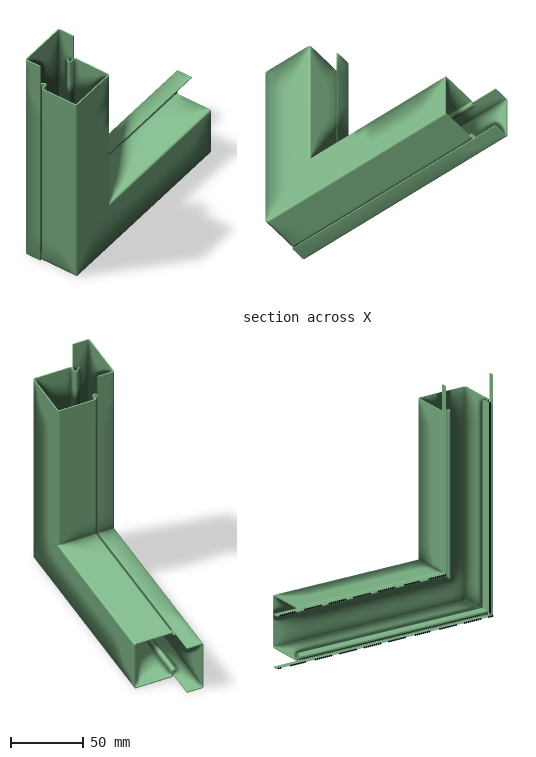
import cadquery as cq
import math

TOTAL_DEPTH = 43.8
LEG_WIDTH = 40.0
COVER_LENGTH = 180.0
BASE_SHORTFALL = 20.0
BASE_LENGTH = COVER_LENGTH - BASE_SHORTFALL

SHEET = 0.81
EDGE_RADIUS = 1.53
INNER_RADIUS = EDGE_RADIUS - SHEET
CORNER_RADIUS = 3.0

COVER_DEPTH = 13.0
BASE_FRONT = 13.7

HOOK_RADIUS = 1.3
FULL_REACH = 4.7
SMALL_REACH = 1.6
LONG_TAIL_X = 9.2
SHORT_TAIL_X = 10.3
SMALL_TAIL_X = 11.2

LONG_HOOK = (FULL_REACH, LONG_TAIL_X)
SHORT_HOOK = (FULL_REACH, SHORT_TAIL_X)
SMALL_HOOK = (SMALL_REACH, SMALL_TAIL_X)


def upright_bar(x_start, x_end, inset, length, radius, edges):
    """Rectangular bar along Z, set in from the leg sides, with rounded lengthwise edges."""
    bar = cq.Workplane("XY").box(
        x_end - x_start, LEG_WIDTH - 2 * inset, length - inset, centered=False
    )
    return bar.edges(edges).fillet(radius).translate((x_start, inset, inset))


def round_outer_corner(bar, inset):
    """Round the bottom of the bar where its outer wall turns into the other leg."""
    return bar.intersect(
        cq.Workplane("XY")
        .box(TOTAL_DEPTH, COVER_LENGTH, COVER_LENGTH, centered=False)
        .translate((0, inset, inset))
        .edges("<Y and <Z")
        .fillet(CORNER_RADIUS - inset)
    )


def mitre(leg):
    """Keep the part of an upright leg above the 45 degree plane Z = Y."""
    keep = (
        cq.Workplane("YZ")
        .polyline([(0, 0), (COVER_LENGTH, COVER_LENGTH), (0, COVER_LENGTH)])
        .close()
        .extrude(TOTAL_DEPTH)
    )
    return leg.intersect(keep)


def lay_down(leg):
    """Swap Y and Z, turning an upright leg into the matching horizontal one."""
    return leg.mirror("XY").rotate((0, 0, 0), (1, 0, 0), 90)


def cover_leg():
    """U-shaped cover, open towards the base."""
    outside = upright_bar(0, COVER_DEPTH, 0, COVER_LENGTH, EDGE_RADIUS, "|Z and <X")
    inside = upright_bar(SHEET, COVER_DEPTH, SHEET, COVER_LENGTH, INNER_RADIUS, "|Z and <X")
    return mitre(outside.cut(inside))


def hook(reach, tail_x):
    """Curl that carries on from the lip on the low-Y side and ends in a 45 degree tail."""
    center_x = BASE_FRONT + SHEET / 2 - HOOK_RADIUS
    outer = HOOK_RADIUS + SHEET / 2
    inner = HOOK_RADIUS - SHEET / 2
    diagonal = math.sqrt(0.5)

    def on_curl(radius):
        return center_x - radius * diagonal, reach + radius * diagonal

    def tail_end(radius):
        x, y = on_curl(radius)
        return tail_x, y - (x - tail_x)

    return (
        cq.Workplane("XY")
        .moveTo(center_x + outer, reach)
        .threePointArc((center_x, reach + outer), on_curl(outer))
        .lineTo(*tail_end(outer))
        .lineTo(*tail_end(inner))
        .lineTo(*on_curl(inner))
        .threePointArc((center_x, reach + inner), (center_x + inner, reach))
        .close()
        .extrude(BASE_LENGTH)
    )


def base_leg(outer_hook, inner_hook):
    """Channel open towards the cover, with a hooked lip on both sides of its mouth."""
    back_inside = TOTAL_DEPTH - SHEET
    front_inside = BASE_FRONT + SHEET
    outside = upright_bar(BASE_FRONT, TOTAL_DEPTH, 0, BASE_LENGTH, EDGE_RADIUS, "|Z")
    inside = upright_bar(front_inside, back_inside, SHEET, BASE_LENGTH, INNER_RADIUS, "|Z")
    channel = round_outer_corner(outside, 0).cut(round_outer_corner(inside, SHEET))
    outer_reach = outer_hook[0]
    inner_reach = inner_hook[0]
    mouth = (
        cq.Workplane("XY")
        .box(SHEET, LEG_WIDTH - outer_reach - inner_reach, BASE_LENGTH, centered=False)
        .translate((BASE_FRONT, outer_reach, 0))
    )
    outer_strip = hook(*outer_hook)
    inner_strip = hook(*inner_hook).mirror("XZ").translate((0, LEG_WIDTH, 0))
    return mitre(channel.cut(mouth).union(outer_strip).union(inner_strip))


upright_cover = cover_leg()
level_cover = lay_down(cover_leg())

upright_base = base_leg(LONG_HOOK, SHORT_HOOK)
level_base = lay_down(base_leg(SHORT_HOOK, SMALL_HOOK))

bodies = [upright_cover, level_cover, upright_base, level_base]
result = cq.Compound.makeCompound([body.solids().val() for body in bodies])